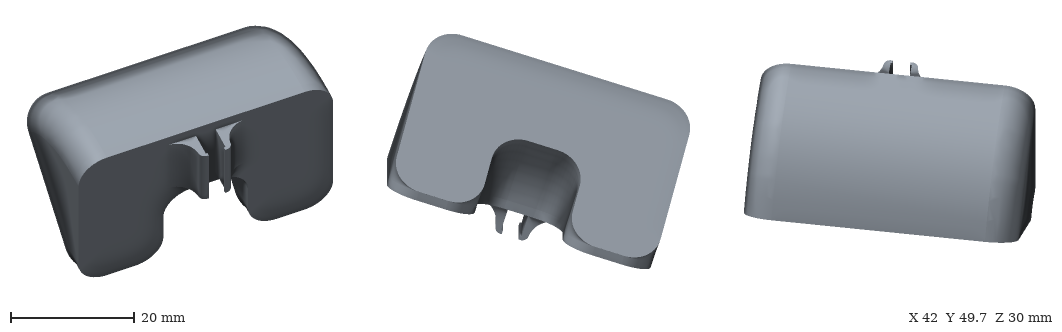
import cadquery as cq

LEG_WIDTH = 15.0
WIDTH = 3 * LEG_WIDTH
HEIGHT = 2 * LEG_WIDTH
SLOT_WIDTH = LEG_WIDTH
SLOT_DEPTH = HEIGHT / 2
CORNER_RADIUS = LEG_WIDTH / 3
STRAIGHT_LENGTH = 1.5
SWING_ANGLE = 50
AXIS_DROP = 0.005
YAW_ANGLE = -30

CLIP_HEIGHT = 11.0
CLIP_TOP_MARGIN = 2.0
CLIP_HALF_GAP = 1.75
PRONG_LENGTH = 4.55
PRONG_ROOT_REACH = 6.75
HOOK_LENGTH = 0.55
HOOK_DEPTH = 0.3
FLARE_MIDDLE = (1.05, 4.05)
FLARE_END = (3.5, 2.85)
TIP_MIDDLE = (4.3, 2.45)
ROOT_OVERLAP = 0.5


def section():
    """Rectangle open at the bottom by a slot, with every corner rounded."""
    profile = (
        cq.Sketch()
        .push([(0, HEIGHT / 2)])
        .rect(WIDTH, HEIGHT)
        .reset()
        .push([(0, SLOT_DEPTH / 2)])
        .rect(SLOT_WIDTH, SLOT_DEPTH, mode="s")
        .reset()
        .vertices()
        .fillet(CORNER_RADIUS)
    )
    return cq.Workplane("YZ").placeSketch(profile)


def make_block():
    """Straight stretch behind the flat face at X = 0, continued by the swung stretch."""
    straight = section().extrude(-STRAIGHT_LENGTH)
    swung = section().revolve(SWING_ANGLE, (0, -AXIS_DROP, 0), (-1, -AXIS_DROP, 0))
    return straight.union(swung.translate((-STRAIGHT_LENGTH, 0, 0)))


def make_prong():
    """Upright prong on the +Y side: flared root, rounded tip and a small inward hook."""
    hook_y = CLIP_HALF_GAP - HOOK_DEPTH
    hook_x = PRONG_LENGTH - HOOK_LENGTH
    return (
        cq.Workplane("XY", origin=(0, 0, HEIGHT - CLIP_TOP_MARGIN - CLIP_HEIGHT))
        .moveTo(-ROOT_OVERLAP, CLIP_HALF_GAP)
        .lineTo(hook_x, CLIP_HALF_GAP)
        .lineTo(hook_x, hook_y)
        .lineTo(PRONG_LENGTH, hook_y)
        .lineTo(PRONG_LENGTH, CLIP_HALF_GAP)
        .threePointArc(TIP_MIDDLE, FLARE_END)
        .threePointArc(FLARE_MIDDLE, (0, PRONG_ROOT_REACH))
        .lineTo(-ROOT_OVERLAP, PRONG_ROOT_REACH)
        .close()
        .extrude(CLIP_HEIGHT)
    )


prong = make_prong()
part = make_block().union(prong).union(prong.mirror("XZ"))
result = part.rotate((0, 0, 0), (0, 0, 1), YAW_ANGLE)